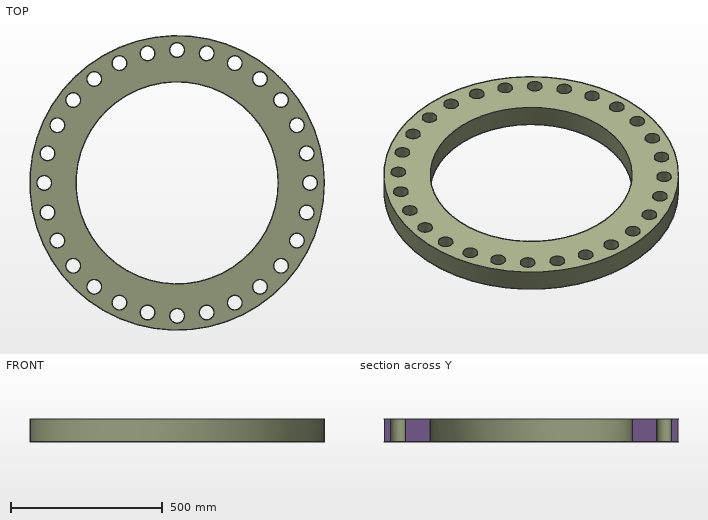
import cadquery as cq

outer_diameter = 971.0
bore_diameter = 665.0
thickness = 76.0

bolt_circle_diameter = 876.0
bolt_hole_diameter = 48.0
bolt_hole_count = 28


def make_ring():
    """Flat ring with a plain through bore."""
    return (
        cq.Workplane("XY")
        .circle(outer_diameter / 2)
        .circle(bore_diameter / 2)
        .extrude(thickness)
    )


def make_bolt_holes():
    """Cylinders for the evenly spaced through holes."""
    return (
        cq.Workplane("XY")
        .polarArray(bolt_circle_diameter / 2, 0, 360, bolt_hole_count)
        .circle(bolt_hole_diameter / 2)
        .extrude(thickness)
    )


result = make_ring().cut(make_bolt_holes())